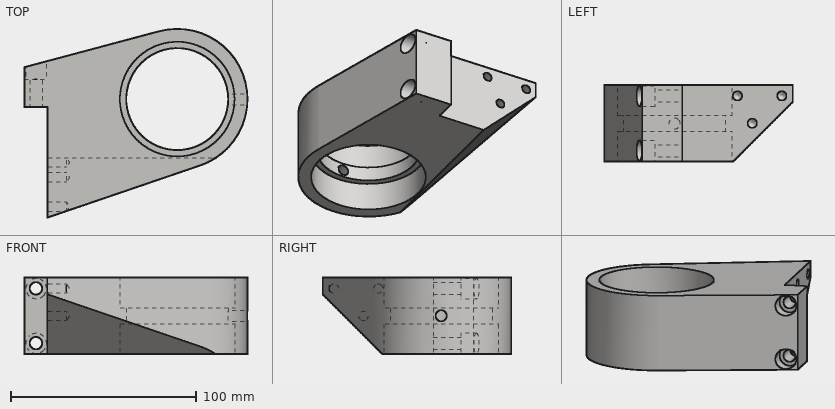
import cadquery as cq
import math

height = 41.6
mid_height = height / 2

ring_radius = 38.0
seat_diameter = 62.0
lip_diameter = 55.0
lip_thickness = 8.4
seat_depth = (height - lip_thickness) / 2
radial_hole_diameter = 6.0

total_length = 120.57
arm_end_x = ring_radius - total_length
arm_width = 21.6
arm_corner_y = 17.3
notch_depth = 12.4
notch_x = arm_end_x + notch_depth
notch_y = arm_corner_y - arm_width
foot_y = -64.11
chamfer_size = 32.4

screw_diameter = 6.6
screw_head_diameter = 11.0
screw_head_depth = 6.6
screw_head_floor_y = arm_corner_y - screw_head_depth
screw_x = arm_end_x + notch_depth / 2
hole_edge_distance = 6.0
low_z = hole_edge_distance
high_z = height - hole_edge_distance

blind_diameter = 5.0
blind_depth = 10.3
drill_point_angle = 118.0
first_blind_y = foot_y + hole_edge_distance
blind_spacing = 24.0
low_blind_offset = 16.0
blind_positions = [
    (first_blind_y, high_z),
    (first_blind_y + blind_spacing, high_z),
    (first_blind_y + low_blind_offset, mid_height),
]


def tangent_point(x, y, side):
    """Point where the line from (x, y) touches the ring; side is +1 or -1."""
    angle = math.atan2(y, x) + side * math.acos(ring_radius / math.hypot(x, y))
    return ring_radius * math.cos(angle), ring_radius * math.sin(angle)


def make_body():
    """Ring blended by tangent flanks into the notched arm."""
    upper_tangent = tangent_point(arm_end_x, arm_corner_y, -1)
    lower_tangent = tangent_point(notch_x, foot_y, 1)
    return (
        cq.Workplane("XY")
        .moveTo(arm_end_x, arm_corner_y)
        .lineTo(*upper_tangent)
        .threePointArc((ring_radius, 0), lower_tangent)
        .lineTo(notch_x, foot_y)
        .lineTo(notch_x, notch_y)
        .lineTo(arm_end_x, notch_y)
        .close()
        .extrude(height)
    )


def make_chamfer_wedge():
    """45 degree wedge that removes the lower edge on the foot side."""
    return (
        cq.Workplane("YZ", origin=(arm_end_x, 0, 0))
        .moveTo(foot_y, 0)
        .lineTo(foot_y + chamfer_size, 0)
        .lineTo(foot_y, chamfer_size)
        .close()
        .extrude(ring_radius - arm_end_x)
    )


def make_bore():
    """Through bore with an equal seat at each end, leaving a lip in the middle."""
    bore = cq.Workplane("XY").circle(lip_diameter / 2).extrude(height)
    for seat_bottom in (0, height - seat_depth):
        seat = cq.Workplane("XY", origin=(0, 0, seat_bottom)).circle(seat_diameter / 2).extrude(seat_depth)
        bore = bore.union(seat)
    return bore


def make_radial_hole():
    """Hole through the lip and the ring wall on the +X side."""
    return (
        cq.Workplane("YZ", origin=(0, 0, mid_height))
        .circle(radial_hole_diameter / 2)
        .extrude(ring_radius + radial_hole_diameter)
    )


def make_screw_hole(z):
    """Clearance hole through the arm with a head recess from the sloping flank."""
    shank = cq.Solid.makeCylinder(
        screw_diameter / 2, ring_radius - notch_y, cq.Vector(screw_x, notch_y, z), cq.Vector(0, 1, 0)
    )
    head = cq.Solid.makeCylinder(
        screw_head_diameter / 2,
        ring_radius - screw_head_floor_y,
        cq.Vector(screw_x, screw_head_floor_y, z),
        cq.Vector(0, 1, 0),
    )
    return cq.Workplane(shank).union(cq.Workplane(head))


def make_blind_hole(y, z):
    """Drilled hole with a conical end."""
    radius = blind_diameter / 2
    point_length = radius / math.tan(math.radians(drill_point_angle / 2))
    inward = cq.Vector(1, 0, 0)
    shaft = cq.Solid.makeCylinder(radius, blind_depth, cq.Vector(notch_x, y, z), inward)
    point = cq.Solid.makeCone(radius, 0, point_length, cq.Vector(notch_x + blind_depth, y, z), inward)
    return cq.Workplane(shaft).union(cq.Workplane(point))


result = make_body().cut(make_chamfer_wedge()).cut(make_bore()).cut(make_radial_hole())
for hole_z in (low_z, high_z):
    result = result.cut(make_screw_hole(hole_z))
for hole_y, hole_z in blind_positions:
    result = result.cut(make_blind_hole(hole_y, hole_z))